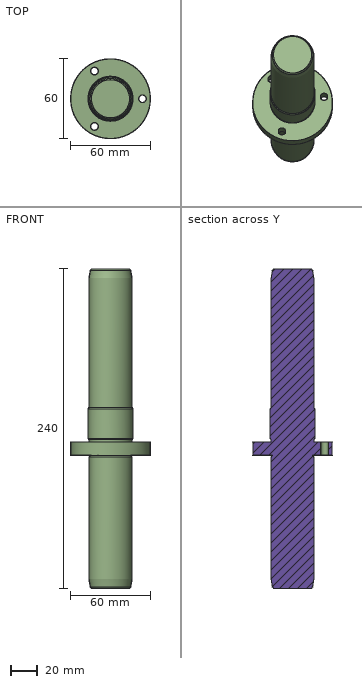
import cadquery as cq

length = 240.0
shaft_diameter = 32.5

lead_length = 7.0
lead_end_diameter = 30.5
end_chamfer_length = 1.2
end_diameter = 28.5

flange_diameter = 60.0
flange_bottom = -20.0
flange_thickness = 10.0

relief_height = 1.5
relief_diameter = 30.5

neck_height = 1.7
collar_diameter = 33.8
collar_top = 16.0
collar_bottom_chamfer_length = 0.7
collar_top_chamfer_length = 1.2

hole_count = 3
hole_diameter = 5.5
hole_circle_diameter = 48.0

flange_top = flange_bottom + flange_thickness
collar_bottom = flange_top + neck_height
half_length = length / 2
shoulder = half_length - lead_length
chamfer_start = half_length - end_chamfer_length


def make_turned_body():
    """Shaft, flange and collar as one revolved half-section."""
    corners = [
        (0, -half_length),
        (end_diameter, -half_length),
        (lead_end_diameter, -chamfer_start),
        (shaft_diameter, -shoulder),
        (shaft_diameter, flange_bottom - relief_height),
        (relief_diameter, flange_bottom),
        (flange_diameter, flange_bottom),
        (flange_diameter, flange_top),
        (shaft_diameter, flange_top),
        (shaft_diameter, collar_bottom),
        (collar_diameter, collar_bottom + collar_bottom_chamfer_length),
        (collar_diameter, collar_top - collar_top_chamfer_length),
        (shaft_diameter, collar_top),
        (shaft_diameter, shoulder),
        (lead_end_diameter, chamfer_start),
        (end_diameter, half_length),
        (0, half_length),
    ]
    half_section = [(diameter / 2, height) for diameter, height in corners]
    return cq.Workplane("XZ").polyline(half_section).close().revolve(360, (0, 0, 0), (0, 1, 0))


def make_hole_cutters():
    """Equally spaced through holes in the flange, the first one on +X."""
    return (
        cq.Workplane("XY")
        .workplane(offset=flange_bottom)
        .polarArray(hole_circle_diameter / 2, 0, 360, hole_count)
        .circle(hole_diameter / 2)
        .extrude(flange_thickness)
    )


result = make_turned_body().cut(make_hole_cutters())